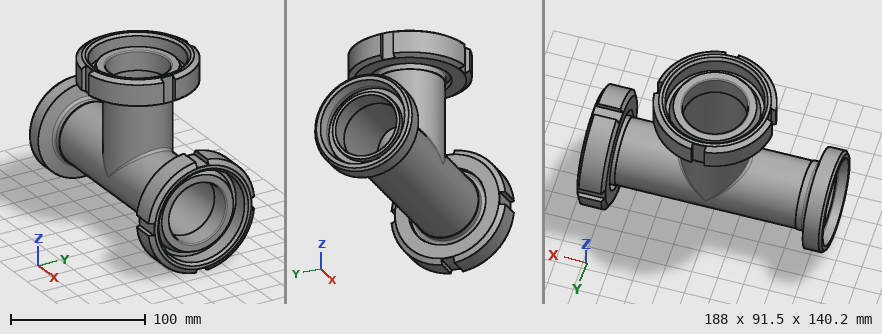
import cadquery as cq
import math

bore_radius = 24.5
pipe_radius = 26
weld_end_radius = 26.5
weld_end_length = 4.5
tee_arm_length = 70
weld_end_reach = tee_arm_length + weld_end_length
tee_seam_fillet = 2
ball_path_radius = pipe_radius + tee_seam_fillet
join_tolerance = 1e-4

thread_radius = 39
thread_core_radius = 74.19 / 2

nut_radius = 46
nut_width = 22
nut_end_reach = 94.5
nut_start = nut_end_reach - nut_width
nut_face_radius = 41.8
nut_chamfer_angle = 30
nut_chamfer_length = (nut_radius - nut_face_radius) * math.tan(math.radians(nut_chamfer_angle))
nut_thread_radius = thread_core_radius
nut_mouth_radius = 78.4 / 2
nut_mouth_chamfer = nut_mouth_radius - nut_thread_radius
nut_hole_radius = 31
nut_floor_thickness = 4.5
nut_seat = nut_start + nut_floor_thickness
slot_count = 4
slot_width = 10
slot_floor_radius = 42

liner_fillet = nut_seat - weld_end_reach
liner_flange_end = 80
liner_nose_end = 86.5
liner_cone_base_radius = 34
liner_nose_radius = 31
liner_bore_rounding = 1

ferrule_reach = 93.5
thread_chamfer = thread_radius - thread_core_radius
ferrule_back_angle = 12
ferrule_neck_fillet = 2.5
seat_mouth_radius = 33.75
seat_depth = 7
groove_outer_radius = 63.8 / 2
groove_inner_radius = 54 / 2
groove_depth = 5


def revolve_about_z(profile):
    """Turn an (r, z) outline drawn on the XZ plane a full circle about the Z axis."""
    return profile.close().revolve(360, (0, 0, 0), (0, 1, 0))


def point_along_x(body, direction):
    """Swing a body built along +Z so that it points along +X (1) or -X (-1)."""
    return body.rotate((0, 0, 0), (0, 1, 0), direction * 90)


def arm_cylinder(radius):
    return cq.Workplane("XY").circle(radius).extrude(tee_arm_length)


def run_cylinder(radius):
    return cq.Workplane("YZ").circle(radius).extrude(tee_arm_length, both=True)


def make_contact_wedge():
    """Wedge whose two flat sides hold the lines where the seam fillet meets the branch and the run."""
    return (
        cq.Workplane("XZ")
        .polyline([(0, 0), (ball_path_radius, pipe_radius), (pipe_radius, ball_path_radius)])
        .close()
        .extrude(ball_path_radius, both=True)
    )


def make_crotch(contact_wedge):
    """Part of the tee inside the wedge, hollowed by a ball that rolls along both pipes."""
    miter_plane = cq.Plane(origin=(0, 0, 0), xDir=(1, 0, 1), normal=(-1, 0, 1))
    ball_path = cq.Workplane(miter_plane).ellipseArc(
        math.sqrt(2) * ball_path_radius, ball_path_radius, -90, 90, startAtCurrent=False
    )
    path_start = ball_path.val().startPoint()
    path_direction = ball_path.val().tangentAt(0)
    ball_track = (
        cq.Workplane(cq.Plane(origin=path_start, normal=path_direction))
        .circle(tee_seam_fillet)
        .sweep(ball_path)
    )
    path_envelope = run_cylinder(ball_path_radius).intersect(arm_cylinder(ball_path_radius))
    return contact_wedge.intersect(path_envelope).cut(ball_track)


def make_tee():
    wedge = make_contact_wedge()
    crotch = make_crotch(wedge)
    outside = run_cylinder(pipe_radius).union(arm_cylinder(pipe_radius))
    outside = outside.cut(wedge).cut(wedge.mirror("YZ"))
    for side in (crotch, crotch.mirror("YZ")):
        outside = outside.union(side, tol=join_tolerance)
    return outside.cut(run_cylinder(bore_radius)).cut(arm_cylinder(bore_radius))


def make_liner():
    arc_sag = liner_fillet * (1 - math.sqrt(0.5))
    profile = (
        cq.Workplane("XZ")
        .moveTo(bore_radius, tee_arm_length)
        .lineTo(weld_end_radius, tee_arm_length)
        .lineTo(weld_end_radius, weld_end_reach)
        .threePointArc(
            (weld_end_radius + arc_sag, nut_seat - arc_sag),
            (weld_end_radius + liner_fillet, nut_seat),
        )
        .lineTo(nut_thread_radius, nut_seat)
        .lineTo(nut_thread_radius, liner_flange_end)
        .lineTo(liner_cone_base_radius, liner_flange_end)
        .lineTo(liner_nose_radius, liner_nose_end)
        .lineTo(bore_radius + liner_bore_rounding, liner_nose_end)
        .radiusArc((bore_radius, liner_nose_end - liner_bore_rounding), -liner_bore_rounding)
    )
    return revolve_about_z(profile)


def make_nut():
    profile = (
        cq.Workplane("XZ")
        .moveTo(nut_hole_radius, nut_start)
        .lineTo(nut_face_radius, nut_start)
        .lineTo(nut_radius, nut_start + nut_chamfer_length)
        .lineTo(nut_radius, nut_end_reach - nut_chamfer_length)
        .lineTo(nut_face_radius, nut_end_reach)
        .lineTo(nut_mouth_radius, nut_end_reach)
        .lineTo(nut_thread_radius, nut_end_reach - nut_mouth_chamfer)
        .lineTo(nut_thread_radius, nut_seat)
        .lineTo(nut_hole_radius, nut_seat)
    )
    nut = revolve_about_z(profile)
    slots = (
        cq.Workplane("XY", origin=(0, 0, nut_start))
        .polarArray(slot_floor_radius + slot_width / 2, 0, 360, slot_count)
        .rect(slot_width, slot_width)
        .extrude(nut_width)
    )
    return nut.cut(slots)


def make_ferrule():
    face = ferrule_reach
    slope = math.radians(ferrule_back_angle)
    fillet_center_r = weld_end_radius + ferrule_neck_fillet

    def on_fillet(angle):
        return (
            fillet_center_r - ferrule_neck_fillet * math.cos(angle),
            weld_end_reach + ferrule_neck_fillet * math.sin(angle),
        )

    sweep = math.pi / 2 - slope
    slope_start_r, slope_start = on_fillet(sweep)
    back = slope_start + (thread_radius - slope_start_r) * math.tan(slope)
    groove_floor = face - seat_depth - groove_depth
    profile = (
        cq.Workplane("XZ")
        .moveTo(bore_radius, tee_arm_length)
        .lineTo(weld_end_radius, tee_arm_length)
        .lineTo(weld_end_radius, weld_end_reach)
        .threePointArc(on_fillet(sweep / 2), (slope_start_r, slope_start))
        .lineTo(thread_radius, back)
        .lineTo(thread_radius, face - thread_chamfer)
        .lineTo(thread_radius - thread_chamfer, face)
        .lineTo(seat_mouth_radius, face)
        .lineTo(groove_outer_radius, face - seat_depth)
        .lineTo(groove_outer_radius, groove_floor)
        .lineTo(groove_inner_radius, groove_floor)
        .lineTo(groove_inner_radius, face - seat_depth)
        .lineTo(bore_radius, face - seat_depth)
    )
    return revolve_about_z(profile)


tee = make_tee()
ferrule = point_along_x(make_ferrule(), -1)

bodies = [tee.val(), ferrule.val()]
for make_body in (make_liner, make_nut):
    branch_body = make_body()
    run_body = point_along_x(branch_body, 1)
    bodies += [branch_body.val(), run_body.val()]

result = cq.Compound.makeCompound(bodies)